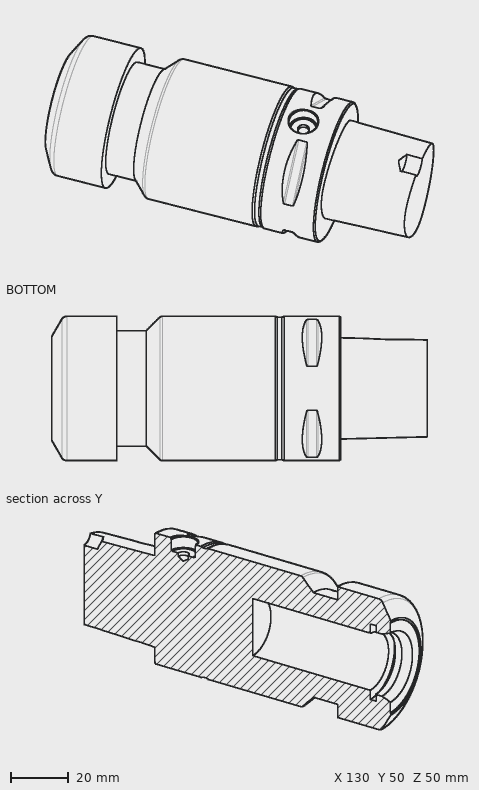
import cadquery as cq
import math

LENGTH = 130.0
BODY_R = 50.0 / 2

NUT_END_X = 22.6
NUT_FACE_R = 18.0
NUT_CONE_ANGLE = 60.0
NUT_ROUND_R = 2.1
FACE_RECESS_R = 17.2
FACE_RECESS_DEPTH = 0.3

NECK_R = 40.0 / 2
NECK_END_X = 32.8
SHOULDER_ANGLE = 45.0
BODY_ROUND_R = 1.3
GROOVE_R = 49.4 / 2
GROOVE_START_X = 77.4
GROOVE_END_X = 80.5
GROOVE_SLOPE_LENGTH = 0.8
FLANGE_END_X = 100.1
FLANGE_CHAMFER = 0.5

BORE_MOUTH_R = 13.3
BORE_LIP_R = 23.5 / 2
BORE_CONE_END_X = 3.8
UNDERCUT_START_X = 6.5
UNDERCUT_END_X = 8.7
UNDERCUT_R = 14.3
BORE_R = 10.8
BORE_END_X = 58.5

SLOT_X = 90.1
SLOT_FLOOR_DISTANCE = 22.2
SLOT_FLOOR_WIDTH = 3.5
SLOT_WALL_ANGLE = 30.0
SLOT_FLOOR_FILLET = 0.58
SLOT_CUT_CLEARANCE = 1.3
SLOT_ANGLES = (45, 135, 225, 315)

POCKET_X = 88.0
POCKET_R = 10.0 / 2
POCKET_DEPTH = 4.8
POCKET_CHAMFER = 0.3
POCKET_RIM_DROP = 0.8
PIN_RING_R = 9.0 / 2
PIN_RING_DEPTH = 0.3
PIN_HOLE_R = 4.0 / 2
PIN_HOLE_DEPTH = 1.3
DRILL_POINT_ANGLE = 118.0

SHANK_MEAN_R = 17.5
SHANK_LOBE = 1.2
SHANK_TAPER = 1 / 40
SHANK_POINTS = 48

NOTCH_R = 3.8
NOTCH_LENGTH = 5.6
NOTCH_TIP_LENGTH = 2.0
NOTCH_AXIS_Z = 16.1


def disc(x, radius, length):
    """Cylinder along X starting at the given x."""
    return cq.Workplane("YZ", origin=(x, 0, 0)).circle(radius).extrude(length)


def revolve_about_x(profile):
    return profile.close().revolve(360, (0, 0, 0), (1, 0, 0))


def turned_body():
    """Nut, neck, body and flange turned in one profile."""
    cone = math.radians(NUT_CONE_ANGLE)
    round_start_r = BODY_R - NUT_ROUND_R * (1 - math.cos(cone))
    round_start_x = (round_start_r - NUT_FACE_R) / math.tan(cone)
    round_end_x = round_start_x + NUT_ROUND_R * math.sin(cone)
    half = cone / 2
    round_mid_x = round_end_x - NUT_ROUND_R * math.sin(half)
    round_mid_r = BODY_R - NUT_ROUND_R * (1 - math.cos(half))

    shoulder = math.radians(SHOULDER_ANGLE)
    shoulder_end_r = BODY_R - BODY_ROUND_R * (1 - math.cos(shoulder))
    shoulder_end_x = NECK_END_X + (shoulder_end_r - NECK_R) / math.tan(shoulder)
    body_start_x = shoulder_end_x + BODY_ROUND_R * math.sin(shoulder)
    body_mid_x = body_start_x - BODY_ROUND_R * math.sin(shoulder / 2)
    body_mid_r = BODY_R - BODY_ROUND_R * (1 - math.cos(shoulder / 2))

    profile = (
        cq.Workplane("XY")
        .moveTo(0, 0)
        .lineTo(0, NUT_FACE_R)
        .lineTo(round_start_x, round_start_r)
        .threePointArc((round_mid_x, round_mid_r), (round_end_x, BODY_R))
        .lineTo(NUT_END_X, BODY_R)
        .lineTo(NUT_END_X, NECK_R)
        .lineTo(NECK_END_X, NECK_R)
        .lineTo(shoulder_end_x, shoulder_end_r)
        .threePointArc((body_mid_x, body_mid_r), (body_start_x, BODY_R))
        .lineTo(GROOVE_START_X, BODY_R)
        .lineTo(GROOVE_START_X + GROOVE_SLOPE_LENGTH, GROOVE_R)
        .lineTo(GROOVE_END_X - GROOVE_SLOPE_LENGTH, GROOVE_R)
        .lineTo(GROOVE_END_X, BODY_R)
        .lineTo(FLANGE_END_X - FLANGE_CHAMFER, BODY_R)
        .lineTo(FLANGE_END_X, BODY_R - FLANGE_CHAMFER)
        .lineTo(FLANGE_END_X, 0)
    )
    return revolve_about_x(profile)


def lobed_outline(mean_r):
    """Points of a convex three-lobed curve with one lobe toward -Z.

    The distance from the axis to the tangent line facing angle t
    is mean_r + SHANK_LOBE * sin(3t).
    """
    points = []
    for i in range(SHANK_POINTS):
        t = 2 * math.pi * i / SHANK_POINTS
        reach = mean_r + SHANK_LOBE * math.sin(3 * t)
        slope = 3 * SHANK_LOBE * math.cos(3 * t)
        y = reach * math.cos(t) - slope * math.sin(t)
        z = reach * math.sin(t) + slope * math.cos(t)
        points.append((y, z))
    return points


def shank():
    length = LENGTH - FLANGE_END_X
    end_r = SHANK_MEAN_R - SHANK_TAPER * length
    return (
        cq.Workplane("YZ", origin=(FLANGE_END_X, 0, 0))
        .spline(lobed_outline(SHANK_MEAN_R), periodic=True).close()
        .workplane(offset=length)
        .spline(lobed_outline(end_r), periodic=True).close()
        .loft(ruled=True)
    )


def collet_bore():
    profile = (
        cq.Workplane("XY")
        .moveTo(0, 0)
        .lineTo(0, BORE_MOUTH_R)
        .lineTo(BORE_CONE_END_X, BORE_LIP_R)
        .lineTo(UNDERCUT_START_X, BORE_LIP_R)
        .lineTo(UNDERCUT_START_X, UNDERCUT_R)
        .lineTo(UNDERCUT_END_X, UNDERCUT_R)
        .lineTo(UNDERCUT_END_X, BORE_R)
        .lineTo(BORE_END_X, BORE_R)
        .lineTo(BORE_END_X, 0)
    )
    return revolve_about_x(profile).union(disc(0, FACE_RECESS_R, FACE_RECESS_DEPTH))


def gripper_slot(angle):
    """Straight chordal slot with sloped walls, turned about X to its angle."""
    height = BODY_R - SLOT_FLOOR_DISTANCE + SLOT_CUT_CLEARANCE
    half_floor = SLOT_FLOOR_WIDTH / 2
    half_top = half_floor + height * math.tan(math.radians(SLOT_WALL_ANGLE))
    cutter = (
        cq.Workplane("XZ", origin=(SLOT_X, 0, SLOT_FLOOR_DISTANCE))
        .polyline([(-half_floor, 0), (half_floor, 0), (half_top, height), (-half_top, height)])
        .close()
        .extrude(BODY_R, both=True)
        .edges("|Y and <Z")
        .fillet(SLOT_FLOOR_FILLET)
    )
    return cutter.rotate((0, 0, 0), (1, 0, 0), angle)


def radial_pocket():
    """Stepped round pocket along Z with a drilled centre."""
    floor_z = BODY_R - POCKET_DEPTH
    ring_z = floor_z - PIN_RING_DEPTH
    hole_z = ring_z - PIN_HOLE_DEPTH
    tip_z = hole_z - PIN_HOLE_R / math.tan(math.radians(DRILL_POINT_ANGLE / 2))
    chamfer_z = BODY_R - POCKET_RIM_DROP
    profile = (
        cq.Workplane("XZ", origin=(POCKET_X, 0, 0))
        .moveTo(0, tip_z)
        .lineTo(PIN_HOLE_R, hole_z)
        .lineTo(PIN_HOLE_R, ring_z)
        .lineTo(PIN_RING_R, ring_z)
        .lineTo(PIN_RING_R, floor_z)
        .lineTo(POCKET_R, floor_z)
        .lineTo(POCKET_R, chamfer_z)
        .lineTo(POCKET_R + POCKET_CHAMFER, chamfer_z + POCKET_CHAMFER)
        .lineTo(POCKET_R + POCKET_CHAMFER, BODY_R)
        .lineTo(0, BODY_R)
        .close()
    )
    return profile.revolve(360, (0, 0, 0), (0, 1, 0))


def shank_notch():
    """Round-bottomed notch open at the shank end, with a conical inner tip."""
    start_x = LENGTH - NOTCH_LENGTH
    profile = (
        cq.Workplane("XY", origin=(0, 0, NOTCH_AXIS_Z))
        .moveTo(start_x - NOTCH_TIP_LENGTH, 0)
        .lineTo(start_x, NOTCH_R)
        .lineTo(LENGTH, NOTCH_R)
        .lineTo(LENGTH, 0)
    )
    return revolve_about_x(profile)


result = turned_body().union(shank()).cut(collet_bore())
for slot_angle in SLOT_ANGLES:
    result = result.cut(gripper_slot(slot_angle))
result = result.cut(radial_pocket()).cut(shank_notch())